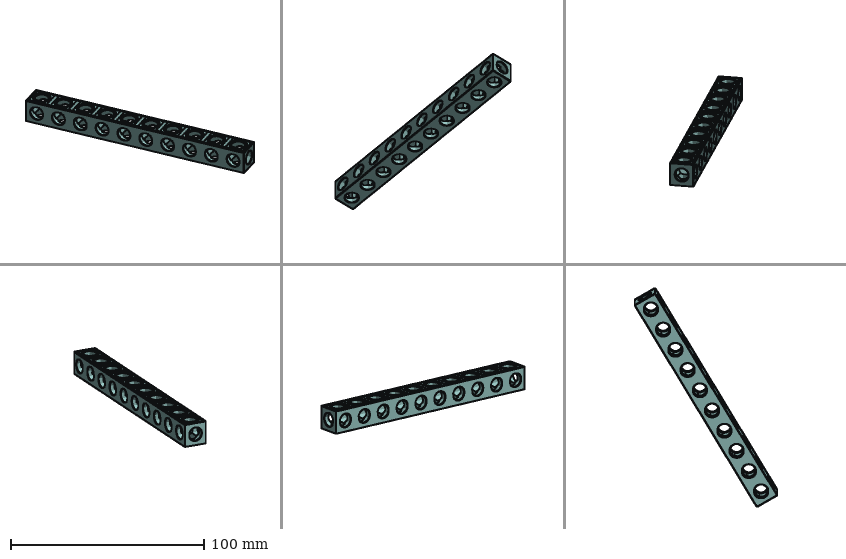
import cadquery as cq

cell_count = 10
cell_size = 12.5
beam_length = cell_count * cell_size
beam_end = beam_length / 2
half_cell = cell_size / 2

hole_diameter = 7.0
edge_chamfer = 0.3

rim_width = 1.1
recess_depth = 0.2
recess_length = beam_length - 2 * rim_width
recess_width = cell_size - 2 * rim_width
recess_floor = cell_size - recess_depth
rib_width = 2 * rim_width
rib_depth = 0.15
collar_diameter = 9.2

first_center = half_cell - beam_end
cell_centers = [first_center + index * cell_size for index in range(cell_count)]
cell_borders = [center + half_cell for center in cell_centers[:-1]]


def beam_body():
    """Chamfered square bar."""
    bar = cq.Workplane("XY").box(beam_length, cell_size, cell_size, centered=(True, True, False))
    return bar.edges().chamfer(edge_chamfer)


def top_recess():
    """Recess inside the rim, leaving the cross ribs and the hole collars standing."""
    floor = cq.Workplane("XY", origin=(0, 0, recess_floor))
    recess = floor.rect(recess_length, recess_width).extrude(recess_depth)
    ribs = (
        floor.pushPoints([(x, 0) for x in cell_borders])
        .rect(rib_width, recess_width)
        .extrude(recess_depth - rib_depth)
    )
    collars = (
        floor.pushPoints([(x, 0) for x in cell_centers])
        .circle(collar_diameter / 2)
        .extrude(recess_depth)
    )
    return recess.cut(ribs).cut(collars)


def hole_cutter(start, direction, length):
    """Round through hole of the given length, widened by a chamfer at both mouths."""
    plane = cq.Plane(origin=start, normal=direction)
    radius = hole_diameter / 2
    mouth_radius = radius + edge_chamfer
    profile = [
        (0, 0),
        (mouth_radius, 0),
        (radius, edge_chamfer),
        (radius, length - edge_chamfer),
        (mouth_radius, length),
        (0, length),
    ]
    cutter = cq.Workplane("XZ").polyline(profile).close().revolve(360, (0, 0), (0, 1))
    return cutter.val().moved(cq.Location(plane))


result = beam_body().cut(top_recess())
for x in cell_centers:
    result = result.cut(hole_cutter((x, 0, 0), (0, 0, 1), cell_size))
    result = result.cut(hole_cutter((x, -half_cell, half_cell), (0, 1, 0), cell_size))
result = result.cut(hole_cutter((-beam_end, 0, half_cell), (1, 0, 0), beam_length))